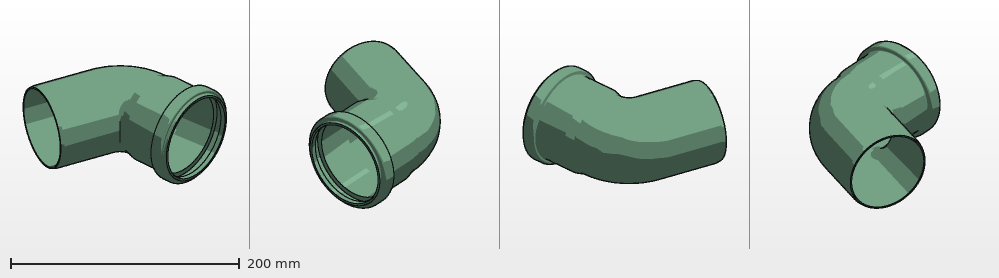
import cadquery as cq
import math

bend_angle = 67.5
bend_radius = 36.1
pipe_outer_radius = 75.2 / 2
pipe_bore_radius = 71.1 / 2
spigot_length = 58.3
spigot_taper_length = 3.4
spigot_taper_depth = 0.8

socket_outer_radius = 80.0 / 2
socket_bore_radius = 76.0 / 2
bead_outer_radius = 89.1 / 2
groove_radius = 85.2 / 2
lip_outer_radius = 80.3 / 2
lip_bore_radius = 76.3 / 2

collar_length = 1.7
cone_end = 10.4
bead_start = 41.9
bead_end = 54.1
socket_length = 56.9
bead_wall = 2.0
bead_fillet = 2.0
root_fillet = 0.9

axis_clearance = 0.02


def revolve_profile(points):
    """Solid of revolution about Y from (radius, height) points."""
    return cq.Workplane("XY").polyline(points).close().revolve(360, (0, 0, 0), (0, 1, 0))


def place_at_elbow_end(shape):
    """Move a body built along Y from the origin to the end of the elbow."""
    bend_axis_end = (bend_radius, spigot_length, 1)
    return (
        shape.translate((0, spigot_length, 0))
        .rotate((bend_radius, spigot_length, 0), bend_axis_end, -bend_angle)
    )


def elbow(radius):
    """Round section, clipped where it would cross the bend axis, swept around that axis."""
    clip_x = bend_radius - axis_clearance
    section = cq.Workplane("XZ", origin=(0, spigot_length, 0))
    if clip_x < radius:
        clip_z = math.sqrt(radius**2 - clip_x**2)
        section = (
            section.moveTo(clip_x, clip_z)
            .threePointArc((-radius, 0), (clip_x, -clip_z))
            .close()
        )
    else:
        section = section.circle(radius)
    return section.revolve(bend_angle, (bend_radius, 1.5, 0), (bend_radius, 0, 0))


def spigot_outside():
    return revolve_profile([
        (0, 0),
        (pipe_outer_radius - spigot_taper_depth, 0),
        (pipe_outer_radius, spigot_taper_length),
        (pipe_outer_radius, spigot_length),
        (0, spigot_length),
    ])


def spigot_bore():
    return revolve_profile([
        (0, 0),
        (pipe_bore_radius, 0),
        (pipe_bore_radius, spigot_length),
        (0, spigot_length),
    ])


def socket_outside():
    """Collar, cone, tube, rounded bead and lip, with blended bead roots."""
    crest_radius = bead_outer_radius - bead_fillet
    profile = (
        cq.Workplane("XY")
        .lineTo(pipe_outer_radius, 0)
        .lineTo(pipe_outer_radius, collar_length)
        .lineTo(socket_outer_radius, cone_end)
        .lineTo(socket_outer_radius, bead_start - root_fillet)
        .tangentArcPoint((socket_outer_radius + root_fillet, bead_start), relative=False)
        .lineTo(crest_radius, bead_start)
        .tangentArcPoint((bead_outer_radius, bead_start + bead_fillet), relative=False)
        .lineTo(bead_outer_radius, bead_end - bead_fillet)
        .tangentArcPoint((crest_radius, bead_end), relative=False)
        .lineTo(lip_outer_radius + root_fillet, bead_end)
        .tangentArcPoint((lip_outer_radius, bead_end + root_fillet), relative=False)
        .lineTo(lip_outer_radius, socket_length)
        .lineTo(0, socket_length)
        .close()
    )
    return profile.revolve(360, (0, 0, 0), (0, 1, 0))


def socket_bore():
    return revolve_profile([
        (0, 0),
        (pipe_bore_radius, 0),
        (pipe_bore_radius, collar_length),
        (socket_bore_radius, cone_end),
        (socket_bore_radius, bead_start + bead_wall),
        (groove_radius, bead_start + bead_wall),
        (groove_radius, bead_end - bead_wall),
        (lip_bore_radius, bead_end - bead_wall),
        (lip_bore_radius, socket_length),
        (0, socket_length),
    ])


outside = (
    spigot_outside()
    .union(elbow(pipe_outer_radius))
    .union(place_at_elbow_end(socket_outside()))
)
result = (
    outside
    .cut(spigot_bore())
    .cut(elbow(pipe_bore_radius))
    .cut(place_at_elbow_end(socket_bore()))
)